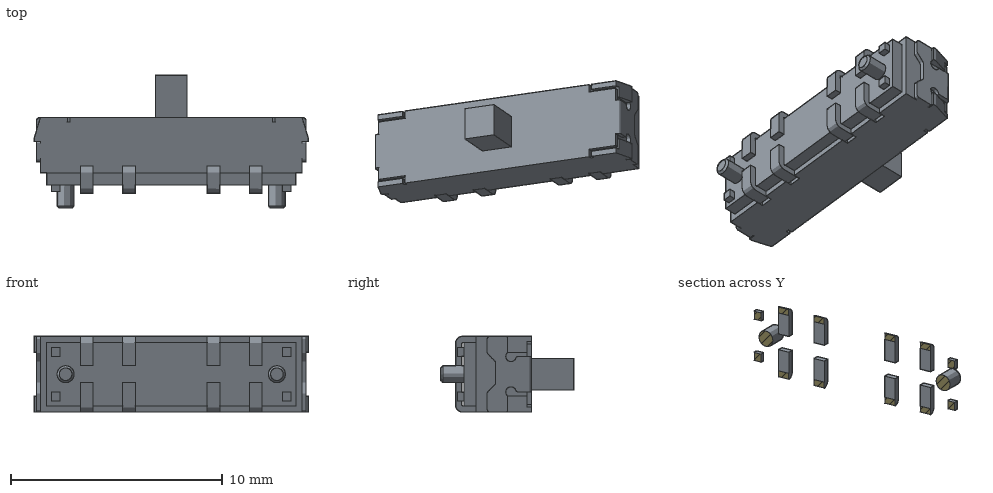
import cadquery as cq
import math


cover_half_x = 6.2
height = 3.6
half_z = height / 2
cover_depth = 2.63
sheet = 0.21

lever_width = 1.51
lever_length = 2.0

base_half_x = 5.9
base_half_z = 1.5
base_face = 3.21

tab_half_x = 6.4
tab_start = 1.15
tab_end = 2.1
tab_notch_floor = 1.7
tab_notch_centre_z = 0.06
tab_notch_floor_width = 1.05
tab_bend_radius = 0.18
tab_inner_corner = 0.08
tab_outer_corner = 0.15
tab_tongue_half_z = 0.83
relief_radius = 0.25
relief_depth = 0.98
relief_z = 0.85
relief_entry_radius = 0.08

wing_half_x = 6.5
wing_slope_end = 0.99
wing_inner_z = 1.04

gap_inner_z = 1.43
gap_outer_z = 1.55
notch_x = 4.93
notch_width = 0.13
flap_setback = 0.03

lead_pitch = 2.0
lead_width = 0.6
lead_thickness = half_z - base_half_z
lead_face = 3.6
lead_toe_z = 0.4
lead_bend_radius = 0.34
lead_slot_start = 2.3
lead_root_radius = cover_depth - lead_slot_start

pin_x = 2.5 * lead_pitch
pin_diameter = 0.8
pin_end = 4.3
pin_chamfer = 0.1
standoff_x = 5.47
standoff_width = 0.4
standoff_inner_z = 0.85
standoff_outer_z = 1.27
standoff_face = 3.51


def block(x_range, depth_range, z_range):
    """Box between two X values, two depths below Y = 0 and two Z values."""
    (x0, x1), (d0, d1), (z0, z1) = x_range, depth_range, z_range
    return cq.Workplane("XY").box(x1 - x0, d1 - d0, z1 - z0, centered=False).translate((x0, -d1, z0))


def mirrored_z(solid):
    return solid.union(solid.mirror("XY"))


def mirrored_x(solid):
    return solid.union(solid.mirror("YZ"))


def make_tab():
    """T-shaped tab at the +X end, with a slope-sided notch in its free edge."""
    thickness = tab_half_x - cover_half_x
    floor_top = tab_notch_centre_z + tab_notch_floor_width / 2
    floor_bottom = tab_notch_centre_z - tab_notch_floor_width / 2
    notch_depth = tab_end - tab_notch_floor
    crossbar = (
        cq.Workplane("YZ", origin=(cover_half_x, 0, 0))
        .moveTo(-tab_start, -half_z)
        .lineTo(-tab_start, half_z)
        .lineTo(-tab_end, half_z)
        .lineTo(-tab_end, floor_top + notch_depth)
        .lineTo(-tab_notch_floor, floor_top)
        .lineTo(-tab_notch_floor, floor_bottom)
        .lineTo(-tab_end, floor_bottom - notch_depth)
        .lineTo(-tab_end, -half_z)
        .close()
        .extrude(thickness)
    )
    crossbar = crossbar.edges("|X and >Y").fillet(tab_inner_corner)
    crossbar = crossbar.edges("|X and (not >Y)").fillet(tab_outer_corner)
    tongue = block((cover_half_x, tab_half_x), (0, tab_start + tab_inner_corner),
                   (-tab_tongue_half_z, tab_tongue_half_z))
    tongue = tongue.edges("|Z and >X and >Y").fillet(tab_bend_radius)
    return crossbar.union(tongue)


def make_wing():
    """Flared wing at the +X, +Z corner."""
    return (
        cq.Workplane("XY", origin=(0, 0, wing_inner_z))
        .moveTo(cover_half_x, 0)
        .lineTo(wing_half_x, -wing_slope_end)
        .lineTo(wing_half_x, -tab_start)
        .lineTo(cover_half_x, -tab_start)
        .close()
        .extrude(half_z - wing_inner_z)
    )


def make_relief():
    """Round relief hole at the root of the +X tab's tongue, cut to the cover's end face."""
    return (
        cq.Workplane("YZ", origin=(cover_half_x, -relief_depth, relief_z))
        .circle(relief_radius)
        .extrude(tab_half_x - cover_half_x)
    )


def relief_entry_edges():
    """Selector for the two sharp edges where the tongue's sides run into the relief holes."""
    entry_y = math.sqrt(relief_radius**2 - (relief_z - tab_tongue_half_z) ** 2) - relief_depth
    middle_x = (cover_half_x + tab_half_x) / 2
    upper = cq.selectors.NearestToPointSelector((middle_x, entry_y, tab_tongue_half_z))
    lower = cq.selectors.NearestToPointSelector((middle_x, entry_y, -tab_tongue_half_z))
    return upper + lower


def make_back_reliefs():
    """L-shaped slit and set-back plate edge at the +X, +Z corner of the back plate."""
    slit = block((notch_x - notch_width, wing_half_x), (0, sheet), (gap_inner_z, gap_outer_z))
    notch = block((notch_x - notch_width, notch_x), (0, sheet), (gap_inner_z, half_z))
    edge = block((cover_half_x - flap_setback, wing_half_x), (0, sheet), (tab_tongue_half_z, gap_outer_z))
    return slit.union(notch).union(edge)


def make_lead_slot(x):
    return block((x - lead_width / 2, x + lead_width / 2), (lead_slot_start, cover_depth),
                 (half_z - lead_root_radius, half_z))


def make_lead(x):
    """Upper lead: rises through the cover slot, runs over the base and folds under it."""
    inner_radius = lead_bend_radius - lead_thickness
    return (
        cq.Workplane("YZ", origin=(x - lead_width / 2, 0, 0))
        .moveTo(-cover_depth, base_half_z)
        .lineTo(-cover_depth, half_z - lead_root_radius)
        .lineTo(-lead_slot_start, half_z - lead_root_radius)
        .radiusArc((-cover_depth, half_z), -lead_root_radius)
        .lineTo(-lead_face + lead_bend_radius, half_z)
        .radiusArc((-lead_face, half_z - lead_bend_radius), -lead_bend_radius)
        .lineTo(-lead_face, lead_toe_z)
        .lineTo(-lead_face + lead_thickness, lead_toe_z)
        .lineTo(-lead_face + lead_thickness, half_z - lead_bend_radius)
        .radiusArc((-lead_face + lead_bend_radius, base_half_z), inner_radius)
        .close()
        .extrude(lead_width)
    )


def make_pin():
    return (
        cq.Workplane("XZ", origin=(pin_x, -base_face, 0))
        .circle(pin_diameter / 2)
        .extrude(pin_end - base_face)
        .faces("<Y")
        .chamfer(pin_chamfer)
    )


def make_standoff():
    """Small square standoff at the +X, +Z corner of the base."""
    return block((standoff_x - standoff_width / 2, standoff_x + standoff_width / 2),
                 (base_face, standoff_face), (standoff_inner_z, standoff_outer_z))


cover = block((-cover_half_x, cover_half_x), (0, cover_depth), (-half_z, half_z))
tab = make_tab().cut(mirrored_z(make_relief()))
tab = tab.edges(relief_entry_edges()).fillet(relief_entry_radius)
cover = cover.union(mirrored_x(tab.union(mirrored_z(make_wing()))))
cover = cover.cut(mirrored_x(mirrored_z(make_back_reliefs())))

lever_side = (-lever_width / 2, lever_width / 2)
lever = block(lever_side, (-lever_length, 0), lever_side)
base = block((-base_half_x, base_half_x), (cover_depth, base_face), (-base_half_z, base_half_z))
result = cover.union(lever).union(base)

for lead_x in (lead_pitch, 2 * lead_pitch):
    result = result.cut(mirrored_x(mirrored_z(make_lead_slot(lead_x))))
    result = result.union(mirrored_x(mirrored_z(make_lead(lead_x))))

result = result.union(mirrored_x(make_pin()))
result = result.union(mirrored_x(mirrored_z(make_standoff())))